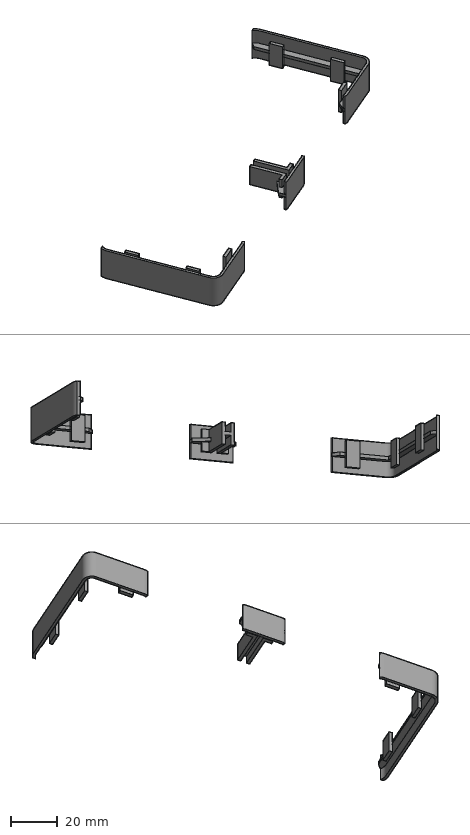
import cadquery as cq
import math

LENGTH = 55.0
WIDTH = 168.0
HEIGHT = 15.0

WALL = 1.2
WEB_THICKNESS = 1.5
WEB_DEPTH = 4.2
TIP_RADIUS = 5.7

LEG_LENGTH = 29.0
CORNER_RADIUS = 4.4
LONG_CURL = 3.0
SHORT_CURL = 2.0
TAB_WIDTH = 6.2
TAB_HEIGHT = 11.8
TAB_THICKNESS = 1.5
LONG_LEG_TABS = (9.4, 37.8)
SHORT_LEG_TAB = 5.0

PLATE_WIDTH = 20.0
PLATE_CURL = 1.7
CLIP_LENGTH = 20.2
STEM_WIDTH = 5.7
JAW_THICKNESS = 1.5
JAW_HEIGHT = 9.7
FOOT_HALF_SPAN = 6.0
FOOT_BACK = 3.7
GUSSET_START = 3.7
GUSSET_END = 7.5

OUTER_Y = WIDTH / 2
TIP_Y = OUTER_Y - LEG_LENGTH
CORNER_X = LENGTH - CORNER_RADIUS
CORNER_Y = OUTER_Y - CORNER_RADIUS
HALF_PLATE = PLATE_WIDTH / 2
INNER_TIP_RADIUS = TIP_RADIUS - WALL


def curl_drop(radius, run):
    """Inward drop of an arc of this radius over the given tangent run."""
    return radius - math.sqrt(radius**2 - run**2)


def inner_run(run):
    """Tangent run of the inner arc of a wall end cut along the curl radius."""
    return run * INNER_TIP_RADIUS / TIP_RADIUS


def inner_tip_depth(run):
    """Depth of the inner edge of a radially cut wall end below the straight outer face."""
    return WALL + curl_drop(INNER_TIP_RADIUS, inner_run(run))


def extrude_centred(outline, height):
    """Close an outline in the XY plane and extrude it equally up and down."""
    return outline.close().extrude(height / 2, both=True)


def bracket_outer_edge():
    """Outer edge of the bracket, from the long leg tip round to the short leg tip."""
    bend = CORNER_RADIUS * math.sqrt(0.5)
    return (
        cq.Workplane("XY")
        .moveTo(0, OUTER_Y - curl_drop(TIP_RADIUS, LONG_CURL))
        .radiusArc((LONG_CURL, OUTER_Y), TIP_RADIUS)
        .lineTo(CORNER_X, OUTER_Y)
        .threePointArc((CORNER_X + bend, CORNER_Y + bend), (LENGTH, CORNER_Y))
        .lineTo(LENGTH, TIP_Y + SHORT_CURL)
        .radiusArc((LENGTH - curl_drop(TIP_RADIUS, SHORT_CURL), TIP_Y), TIP_RADIUS)
    )


def bracket_body():
    """Bracket on the +Y side."""
    long_depth = WALL + curl_drop(INNER_TIP_RADIUS, LONG_CURL)
    short_depth = inner_tip_depth(SHORT_CURL)
    short_inner_y = TIP_Y + SHORT_CURL - inner_run(SHORT_CURL)
    inner_bend = (CORNER_RADIUS - WALL) * math.sqrt(0.5)
    web_x = LENGTH - WEB_DEPTH
    web_y = OUTER_Y - WEB_DEPTH

    wall = extrude_centred(
        bracket_outer_edge()
        .lineTo(LENGTH - short_depth, short_inner_y)
        .radiusArc((LENGTH - WALL, TIP_Y + SHORT_CURL), -INNER_TIP_RADIUS)
        .lineTo(LENGTH - WALL, CORNER_Y)
        .threePointArc((CORNER_X + inner_bend, CORNER_Y + inner_bend), (CORNER_X, OUTER_Y - WALL))
        .lineTo(LONG_CURL, OUTER_Y - WALL)
        .radiusArc((0, OUTER_Y - long_depth), -INNER_TIP_RADIUS),
        HEIGHT,
    )
    web = extrude_centred(
        bracket_outer_edge()
        .lineTo(LENGTH - short_depth, TIP_Y)
        .lineTo(web_x, TIP_Y + WEB_DEPTH - short_depth)
        .lineTo(web_x, web_y)
        .lineTo(WEB_DEPTH - long_depth, web_y)
        .lineTo(0, OUTER_Y - long_depth),
        WEB_THICKNESS,
    )
    body = wall.union(web)
    for start in LONG_LEG_TABS:
        tab = cq.Workplane("XY").box(TAB_WIDTH, TAB_THICKNESS, TAB_HEIGHT)
        body = body.union(tab.translate((start + TAB_WIDTH / 2, web_y - TAB_THICKNESS / 2, 0)))
    tab = cq.Workplane("XY").box(TAB_THICKNESS, TAB_WIDTH, TAB_HEIGHT)
    tab_y = TIP_Y + SHORT_LEG_TAB + TAB_WIDTH / 2
    return body.union(tab.translate((web_x - TAB_THICKNESS / 2, tab_y, 0)))


def bracket(side):
    """Corner bracket on the +Y side (side = 1) or mirrored to the -Y side (side = -1)."""
    body = bracket_body()
    return body if side > 0 else body.mirror("XZ")


def plate_outer_edge():
    """Outer edge of the clip plate, from its +Y end to its -Y end."""
    tip_x = LENGTH - curl_drop(TIP_RADIUS, PLATE_CURL)
    return (
        cq.Workplane("XY")
        .moveTo(tip_x, HALF_PLATE)
        .radiusArc((LENGTH, HALF_PLATE - PLATE_CURL), TIP_RADIUS)
        .lineTo(LENGTH, PLATE_CURL - HALF_PLATE)
        .radiusArc((tip_x, -HALF_PLATE), TIP_RADIUS)
    )


def clip_plate():
    """Upright plate with both ends curled towards the stem."""
    inner_tip_x = LENGTH - inner_tip_depth(PLATE_CURL)
    inner_tip_y = HALF_PLATE - PLATE_CURL + inner_run(PLATE_CURL)
    return extrude_centred(
        plate_outer_edge()
        .lineTo(inner_tip_x, -inner_tip_y)
        .radiusArc((LENGTH - WALL, PLATE_CURL - HALF_PLATE), -INNER_TIP_RADIUS)
        .lineTo(LENGTH - WALL, HALF_PLATE - PLATE_CURL)
        .radiusArc((inner_tip_x, inner_tip_y), -INNER_TIP_RADIUS),
        HEIGHT,
    )


def clip_web():
    """T-shaped web: tapered gussets behind the plate and a strip along the stem."""
    stem_end = LENGTH - CLIP_LENGTH
    half_stem = STEM_WIDTH / 2
    return extrude_centred(
        plate_outer_edge()
        .lineTo(LENGTH - GUSSET_START, -HALF_PLATE)
        .lineTo(LENGTH - GUSSET_END, -half_stem)
        .lineTo(stem_end, -half_stem)
        .lineTo(stem_end, half_stem)
        .lineTo(LENGTH - GUSSET_END, half_stem)
        .lineTo(LENGTH - GUSSET_START, HALF_PLATE),
        WEB_THICKNESS,
    )


def clip_jaw():
    """L-shaped jaw on the +Y side of the stem, its foot turned outward behind the plate."""
    stem_end = LENGTH - CLIP_LENGTH
    foot_x = LENGTH - FOOT_BACK
    outer_y = STEM_WIDTH / 2
    inner_y = outer_y - JAW_THICKNESS
    return extrude_centred(
        cq.Workplane("XY")
        .moveTo(stem_end, inner_y)
        .lineTo(foot_x, inner_y)
        .lineTo(foot_x, FOOT_HALF_SPAN)
        .lineTo(foot_x - JAW_THICKNESS, FOOT_HALF_SPAN)
        .lineTo(foot_x - JAW_THICKNESS, outer_y)
        .lineTo(stem_end, outer_y),
        JAW_HEIGHT,
    )


def centre_clip():
    """Plate, web and two mirrored jaws joined as one solid."""
    jaw = clip_jaw()
    return clip_plate().union(clip_web()).union(jaw).union(jaw.mirror("XZ"))


brackets = [bracket(side).val() for side in (1, -1)]
clip = centre_clip()

result = cq.Compound.makeCompound([*brackets, clip.val()])